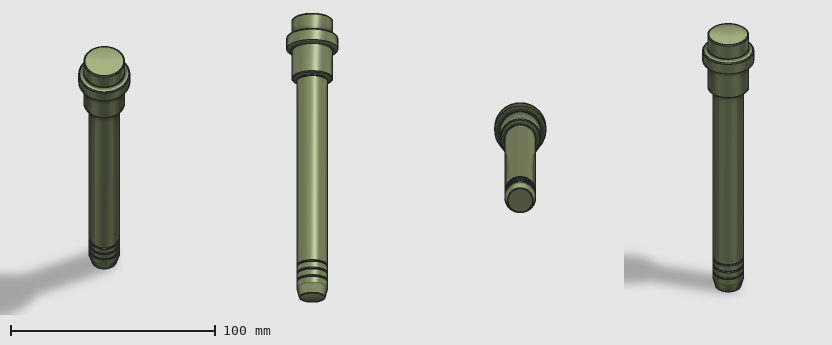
import cadquery as cq
import math

total_length = 146.0
flange_top = 137.0
flange_bottom = 131.0
collar_bottom = 115.0
taper_length = 5.0
top_groove_height = 16.5
groove_pitch = 4.0
groove_count = 3

flange_radius = 25.0 / 2
head_radius = 20.0 / 2
shaft_radius = 15.0 / 2

edge_chamfer = 0.5
tip_chamfer = 0.22
taper_angle = 15.0

relief_width = 0.9
flange_relief_depth = 0.36
collar_relief_depth = 0.6
root_radius = 0.6

groove_depth = 0.5
groove_half_width = 0.5

flange_neck_radius = head_radius - flange_relief_depth
collar_neck_radius = shaft_radius - collar_relief_depth
tip_radius = shaft_radius - taper_length * math.tan(math.radians(taper_angle))


def cylinder(radius, bottom, top):
    """Upright cylinder on the pin axis between two heights."""
    return cq.Workplane("XY").workplane(offset=bottom).circle(radius).extrude(top - bottom)


def stepped_body():
    """Head, flange, collar, shaft and tip, joined by the thinner necks of the reliefs."""
    head = cylinder(head_radius, flange_top + relief_width, total_length)
    flange = cylinder(flange_radius, flange_bottom, flange_top)
    collar = cylinder(head_radius, collar_bottom, flange_bottom - relief_width)
    shaft = cylinder(shaft_radius, taper_length, collar_bottom - relief_width)
    tip = cq.Workplane("XY").circle(tip_radius).workplane(offset=taper_length).circle(shaft_radius).loft()

    body = head.edges(">Z").chamfer(edge_chamfer)
    body = body.union(cylinder(flange_neck_radius, flange_top, flange_top + relief_width))
    body = body.union(flange.edges(">Z").chamfer(edge_chamfer))
    body = body.union(cylinder(flange_neck_radius, flange_bottom - relief_width, flange_bottom))
    body = body.union(collar.edges("<Z").chamfer(edge_chamfer))
    body = body.union(cylinder(collar_neck_radius, collar_bottom - relief_width, collar_bottom))
    body = body.union(shaft)
    return body.union(tip.edges("<Z").chamfer(tip_chamfer))


def root_fillet(face_height, direction):
    """Ring rounding the corner of a flange face and its neck; direction points away from the flange."""
    inset = root_radius * (1 - math.sqrt(0.5))
    profile = (
        cq.Workplane("XZ")
        .moveTo(flange_neck_radius, face_height)
        .lineTo(flange_neck_radius + root_radius, face_height)
        .threePointArc(
            (flange_neck_radius + inset, face_height + direction * inset),
            (flange_neck_radius, face_height + direction * root_radius),
        )
        .close()
    )
    return profile.revolve(360, (0, 0), (0, 1))


def v_groove(height):
    """Ring of V section that cuts a groove around the shaft."""
    profile = (
        cq.Workplane("XZ")
        .moveTo(shaft_radius, height - groove_half_width)
        .lineTo(shaft_radius - groove_depth, height)
        .lineTo(shaft_radius, height + groove_half_width)
        .close()
    )
    return profile.revolve(360, (0, 0), (0, 1))


result = stepped_body()

result = result.union(root_fillet(flange_top, 1))
result = result.union(root_fillet(flange_bottom, -1))

for index in range(groove_count):
    result = result.cut(v_groove(top_groove_height - index * groove_pitch))